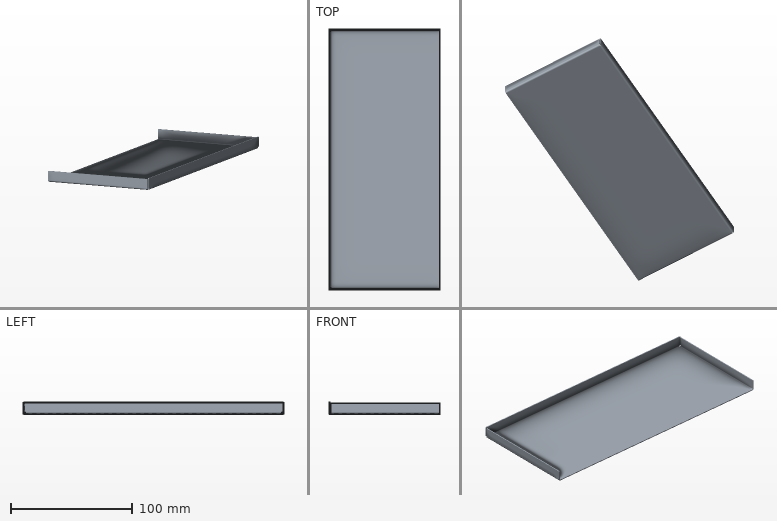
import cadquery as cq

depth = 91.7
width = 215.2
back_height = 10.0
side_height = 9.3

thickness = 0.8
inner_radius = 0.6
outer_radius = inner_radius + thickness
corner_gap = 0.5
back_corner_radius = 1.0

x_back = -depth / 2
y_side = -width / 2
bend_depth = depth - outer_radius
bend_width = width - 2 * outer_radius
side_length = depth - thickness - corner_gap


def bend_profile(plane):
    """Quarter ring from the wall foot to the floor edge, with the wall's outer face at 0."""
    return (
        cq.Workplane(plane)
        .moveTo(0, outer_radius)
        .radiusArc((outer_radius, 0), -outer_radius)
        .lineTo(outer_radius, thickness)
        .radiusArc((thickness, outer_radius), inner_radius)
        .close()
    )


def block(x_size, y_size, z_size, corner):
    """Box that grows toward +X, +Y and +Z from its lowest corner."""
    return cq.Workplane("XY").box(x_size, y_size, z_size, centered=False).translate(corner)


floor = block(bend_depth, bend_width, thickness, (x_back + outer_radius, -bend_width / 2, 0))

back_wall = block(thickness, width, back_height - outer_radius, (x_back, y_side, outer_radius))
back_wall = back_wall.faces(">Z").edges("|X").fillet(back_corner_radius)
back_bend = bend_profile("XZ").extrude(bend_width).translate((x_back, bend_width / 2, 0))

side_wall = block(
    side_length,
    thickness,
    side_height - outer_radius,
    (depth / 2 - side_length, y_side, outer_radius),
)
side_bend = bend_profile("YZ").extrude(bend_depth).translate((x_back + outer_radius, y_side, 0))
side = side_wall.union(side_bend)

result = floor.union(back_bend).union(back_wall).union(side).union(side.mirror("XZ"))